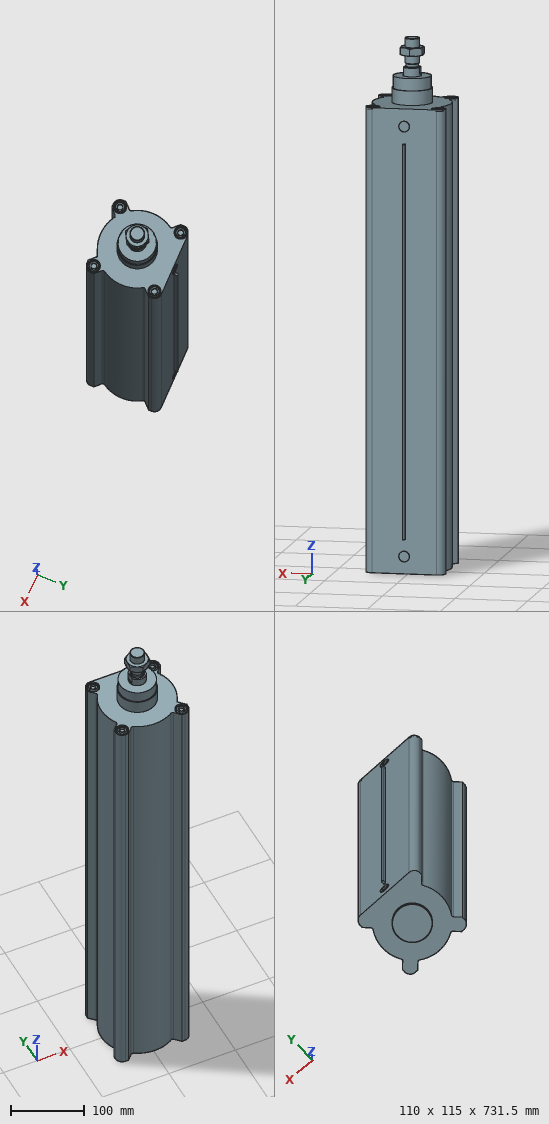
import cadquery as cq
import math

TOTAL_HEIGHT = 731.5

BARREL_WIDTH = 110.0
TUBE_DIA = 108.0
BARREL_BOTTOM_Z = 4.5
BARREL_TOP_Z = 643.0
SCREW_OFFSET = 44.5
LOBE_FLAT = 4.5
LOBE_ROOT_RADIUS = 3.0

SCREW_RECESS_DIA = 17.5
SCREW_HEAD_DIA = 15.0
SCREW_SOCKET_DIA = 8.0
SCREW_HEAD_CHAMFER = 1.5
SCREW_RECESS_DEPTH = 2.0
SCREW_SOCKET_DEPTH = 4.0

COLLAR_DIA = 55.0
COLLAR_CHAMFER = 1.0
COLLAR_STEP_Z = 663.0
NECK_DIA = 52.0
NECK_TOP_Z = 679.5

FIN_WIDTH = 3.0
FIN_TIP_RADIUS = 1.0
FIN_HEIGHT = 5.0
FIN_BOTTOM_Z = 52.0
FIN_TOP_Z = 595.0
PAD_DIA = 14.5
PAD_HEIGHT = 1.5
PAD_END_DISTANCE = 24.0

ROD_DIA = 25.0
ROD_FLATS_WIDTH = 22.0
ROD_FLATS_BOTTOM_Z = 682.5
ROD_SHOULDER_Z = 691.0
ROD_SEAT_DEPTH = 73.0
THREAD_DIA = 20.0
THREAD_CHAMFER = 1.0
RELIEF_DIA = 17.5
RELIEF_LENGTH = 6.0

NUT_ACROSS_FLATS = 30.0
NUT_BOTTOM_Z = 708.0
NUT_HEIGHT = 11.0
NUT_CHAMFER_ANGLE = 30.0

HALF_WIDTH = BARREL_WIDTH / 2
TUBE_RADIUS = TUBE_DIA / 2
BARREL_HEIGHT = BARREL_TOP_Z - BARREL_BOTTOM_Z
LOBE_RADIUS = HALF_WIDTH - SCREW_OFFSET
FLANK_START = SCREW_OFFSET - LOBE_FLAT
FLANK_RISE = HALF_WIDTH - FLANK_START
ROD_BOTTOM_Z = NECK_TOP_Z - ROD_SEAT_DEPTH


def disc(diameter, bottom_z, top_z):
    """Upright cylinder on the main axis."""
    return cq.Workplane("XY").workplane(offset=bottom_z).circle(diameter / 2).extrude(top_z - bottom_z)


def edge_near(x, y):
    """Selector for the upright barrel edge closest to a point of the cross section."""
    return cq.selectors.NearestToPointSelector((x, y, (BARREL_BOTTOM_Z + BARREL_TOP_Z) / 2))


def lobe(x_sign, y_sign):
    """Corner lobe with a rounded outer corner and two flanks that slant at 45 degrees towards the tube."""
    outline = [
        (HALF_WIDTH, HALF_WIDTH),
        (FLANK_START, HALF_WIDTH),
        (FLANK_START - FLANK_RISE, FLANK_START),
        (FLANK_START, FLANK_START - FLANK_RISE),
        (HALF_WIDTH, FLANK_START),
    ]
    return (
        cq.Workplane("XY").workplane(offset=BARREL_BOTTOM_Z)
        .polyline([(x_sign * x, y_sign * y) for x, y in outline])
        .close()
        .extrude(BARREL_HEIGHT)
        .edges(edge_near(x_sign * HALF_WIDTH, y_sign * HALF_WIDTH))
        .fillet(LOBE_RADIUS)
    )


def barrel():
    """Round tube with four corner lobes and a flat back."""
    body = disc(TUBE_DIA, BARREL_BOTTOM_Z, BARREL_TOP_Z)
    for x_sign in (-1, 1):
        for y_sign in (-1, 1):
            body = body.union(lobe(x_sign, y_sign))
    back = cq.Workplane("XY").box(
        2 * SCREW_OFFSET, SCREW_OFFSET, BARREL_HEIGHT, centered=(True, False, False)
    ).translate((0, HALF_WIDTH - SCREW_OFFSET, BARREL_BOTTOM_Z))
    return round_lobe_roots(body.union(back))


def round_lobe_roots(body):
    """Fillet the six inner corners where a lobe flank meets the round tube."""
    near = (math.sqrt(2 * TUBE_RADIUS**2 - FLANK_RISE**2) - FLANK_RISE) / 2
    far = near + FLANK_RISE
    roots = [(-far, near), (-far, -near), (-near, -far), (near, -far), (far, -near), (far, near)]
    for x, y in roots:
        body = body.edges(edge_near(x, y)).fillet(LOBE_ROOT_RADIUS)
    return body


def screw_recesses():
    """Ring round each corner screw head and the socket in it."""
    top = cq.Workplane("XY").workplane(offset=BARREL_TOP_Z).rect(
        2 * SCREW_OFFSET, 2 * SCREW_OFFSET, forConstruction=True).vertices()
    recesses = top.circle(SCREW_RECESS_DIA / 2).extrude(-SCREW_RECESS_DEPTH)
    heads = (
        top.circle(SCREW_HEAD_DIA / 2).extrude(-SCREW_RECESS_DEPTH)
        .faces(">Z").edges().chamfer(SCREW_HEAD_CHAMFER)
    )
    sockets = top.circle(SCREW_SOCKET_DIA / 2).extrude(-SCREW_SOCKET_DEPTH)
    return recesses.cut(heads).union(sockets)


def fin():
    """Narrow upright rail with a rounded tip on the flat back."""
    rail = cq.Workplane("XY").box(
        FIN_WIDTH, FIN_HEIGHT, FIN_TOP_Z - FIN_BOTTOM_Z, centered=(True, False, False)
    )
    rail = rail.faces(">Y").edges("|Z").fillet(FIN_TIP_RADIUS)
    return rail.translate((0, HALF_WIDTH, FIN_BOTTOM_Z))


def pads():
    """Low round pads on the flat back, one near each end of the barrel."""
    heights = (BARREL_BOTTOM_Z + PAD_END_DISTANCE, BARREL_TOP_Z - PAD_END_DISTANCE)
    return (
        cq.Workplane("XZ", origin=(0, HALF_WIDTH, 0))
        .pushPoints([(0, z) for z in heights])
        .circle(PAD_DIA / 2)
        .extrude(-PAD_HEIGHT)
    )


def make_rod():
    """Piston rod with wrench flats, a thread relief and a threaded end."""
    rod = disc(ROD_DIA, ROD_BOTTOM_Z, ROD_SHOULDER_Z)
    flats = (
        cq.Workplane("XY").workplane(offset=ROD_FLATS_BOTTOM_Z)
        .rect(2 * ROD_DIA, 2 * ROD_DIA).rect(ROD_FLATS_WIDTH, 2 * ROD_DIA)
        .extrude(ROD_SHOULDER_Z - ROD_FLATS_BOTTOM_Z)
    )
    thread = disc(THREAD_DIA, ROD_SHOULDER_Z, TOTAL_HEIGHT).faces(">Z").chamfer(THREAD_CHAMFER)
    return rod.cut(flats).union(thread).cut(thread_relief())


def thread_relief():
    """Ring with slanted sides that narrows the rod between the shoulder and the thread."""
    bottom_z = ROD_SHOULDER_Z
    top_z = ROD_SHOULDER_Z + RELIEF_LENGTH
    inner = RELIEF_DIA / 2
    outer = THREAD_DIA / 2
    slant = outer - inner
    return (
        cq.Workplane("XZ")
        .polyline([(outer, bottom_z), (outer, top_z), (inner, top_z - slant), (inner, bottom_z + slant)])
        .close()
        .revolve(360, (0, 0, 0), (0, 1, 0))
    )


def make_housing():
    """Barrel with its collars and back features, bored for the rod."""
    return (
        barrel()
        .cut(screw_recesses())
        .union(disc(COLLAR_DIA, 0, BARREL_BOTTOM_Z).faces("<Z").chamfer(COLLAR_CHAMFER))
        .union(disc(COLLAR_DIA, BARREL_TOP_Z, COLLAR_STEP_Z))
        .union(disc(NECK_DIA, COLLAR_STEP_Z, NECK_TOP_Z))
        .union(fin())
        .union(pads())
        .cut(disc(ROD_DIA, ROD_BOTTOM_Z, NECK_TOP_Z))
    )


def make_nut():
    """Hexagon lock nut on the thread, with both ends chamfered."""
    across_corners = NUT_ACROSS_FLATS / math.cos(math.pi / 6)
    top_z = NUT_BOTTOM_Z + NUT_HEIGHT
    hexagon = (
        cq.Workplane("XY").workplane(offset=NUT_BOTTOM_Z)
        .transformed(rotate=(0, 0, 90)).polygon(6, across_corners).extrude(NUT_HEIGHT)
    )
    corner_overhang = (across_corners - NUT_ACROSS_FLATS) / 2
    drop = corner_overhang * math.tan(math.radians(NUT_CHAMFER_ANGLE))
    chamfer_profile = [
        (0, NUT_BOTTOM_Z),
        (NUT_ACROSS_FLATS / 2, NUT_BOTTOM_Z),
        (across_corners / 2, NUT_BOTTOM_Z + drop),
        (across_corners / 2, top_z - drop),
        (NUT_ACROSS_FLATS / 2, top_z),
        (0, top_z),
    ]
    envelope = cq.Workplane("XZ").polyline(chamfer_profile).close().revolve(360, (0, 0, 0), (0, 1, 0))
    return hexagon.intersect(envelope).cut(disc(THREAD_DIA, NUT_BOTTOM_Z, top_z))


housing = make_housing()
rod = make_rod()
nut = make_nut()

result = cq.Compound.makeCompound([body.solids().val() for body in (housing, rod, nut)])